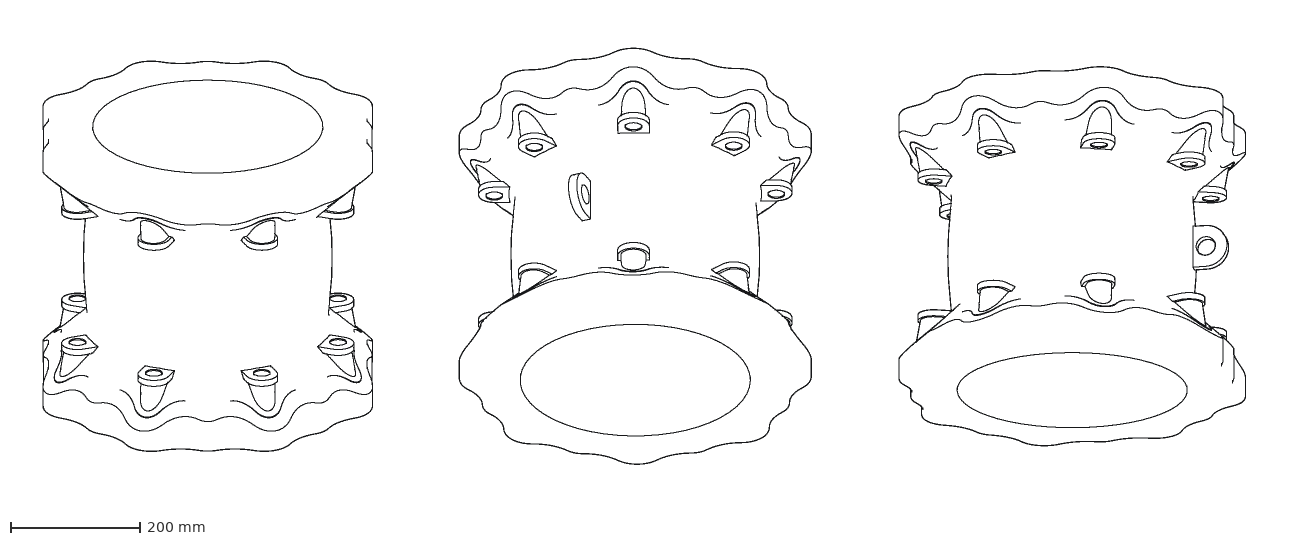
import cadquery as cq
import math

overall_diameter = 544.47
overall_height = 438.0
half_height = overall_height / 2
bore_diameter = 356.0

lobe_count = 8
lobe_pitch = 360.0 / lobe_count
lobe_radius = 44.5
lobe_center_distance = overall_diameter / 2 - lobe_radius
bump_radius = 37.0
bump_center_distance = 217.2
scallop_radius = 74.0
rim_edge_fillet = 5.0

rim_border = 17.5
recess_hollow_radius = 60.0

rim_wall_height = 35.0
border_inner_radius = 229.5
border_inner_height = 75.0
shoulder_radius = 203.0
shoulder_height = 101.0
neck_radius = 186.0
neck_height = 118.6
neck_fillet = 12.0

barrel_mid_radius = 192.5
barrel_band_height = 2.0

pad_center_distance = 218.0
pad_radius = 24.5
pad_bottom_height = 99.0
pad_height = 10.0
pad_top_height = pad_bottom_height + pad_height
boss_root_distance = 190.0
seat_rise = 2.0
bolt_recess_diameter = 26.0
boss_top_center = 219.5
boss_top_radius = 19.5
boss_foot_center = 232.0
boss_foot_radius = 16.0
boss_foot_height = 50.0

lug_angle = 112.5
lug_hole_distance = 212.0
lug_hole_diameter = 30.0
lug_outer_radius = 33.5
lug_thickness = 14.0
lug_bore_clearance = 4.0
lug_root_distance = bore_diameter / 2 + lug_bore_clearance


def polar(distance, angle):
    """Point at a distance from the axis, angle in degrees."""
    turn = math.radians(angle)
    return (distance * math.cos(turn), distance * math.sin(turn))


def toward(start, end, distance):
    """Point reached by moving a distance from start in the direction of end."""
    span = math.dist(start, end)
    step = distance / span
    return (start[0] + (end[0] - start[0]) * step, start[1] + (end[1] - start[1]) * step)


def polar_of(point):
    """Distance from the axis and angle in degrees of a point."""
    return math.hypot(*point), math.degrees(math.atan2(point[1], point[0]))


def hollow_center(lobe, lobe_size, valley, valley_size, hollow_size):
    """Center of the hollow arc that is tangent to a lobe arc and to the valley arc beside it."""
    span = math.dist(lobe, valley)
    from_lobe = lobe_size + hollow_size
    from_valley = valley_size + hollow_size
    along = (from_lobe**2 - from_valley**2 + span**2) / (2 * span)
    across = math.sqrt(from_lobe**2 - along**2)
    base = toward(lobe, valley, along)
    normal = ((valley[1] - lobe[1]) / span, (lobe[0] - valley[0]) / span)
    return (base[0] + normal[0] * across, base[1] + normal[1] * across)


def wavy_outline(lobe_size, valley_distance, valley_size, hollow_size):
    """Closed curve of tangent arcs: outward lobes and valley arcs, joined by hollow arcs."""
    lobe = polar(lobe_center_distance, 0)
    valley = polar(valley_distance, lobe_pitch / 2)
    hollow = hollow_center(lobe, lobe_size, valley, valley_size, hollow_size)
    hollow_distance, hollow_angle = polar_of(hollow)
    lobe_joint, lobe_joint_angle = polar_of(toward(lobe, hollow, lobe_size))
    valley_joint, valley_joint_angle = polar_of(toward(valley, hollow, valley_size))
    middle_angle = (lobe_joint_angle + valley_joint_angle) / 2
    middle_turn = math.radians(hollow_angle - middle_angle)
    middle_reach = math.sqrt(hollow_size**2 - (hollow_distance * math.sin(middle_turn))**2)
    hollow_middle = hollow_distance * math.cos(middle_turn) - middle_reach
    lobe_tip = lobe_center_distance + lobe_size
    valley_tip = valley_distance + valley_size

    outline = cq.Workplane("XY").moveTo(*polar(lobe_joint, -lobe_joint_angle))
    for index in range(lobe_count):
        lobe_angle = index * lobe_pitch
        valley_angle = lobe_angle + lobe_pitch / 2
        next_angle = lobe_angle + lobe_pitch
        outline = (
            outline
            .threePointArc(polar(lobe_tip, lobe_angle), polar(lobe_joint, lobe_angle + lobe_joint_angle))
            .threePointArc(polar(hollow_middle, lobe_angle + middle_angle),
                           polar(valley_joint, lobe_angle + valley_joint_angle))
            .threePointArc(polar(valley_tip, valley_angle),
                           polar(valley_joint, next_angle - valley_joint_angle))
            .threePointArc(polar(hollow_middle, next_angle - middle_angle),
                           polar(lobe_joint, next_angle - lobe_joint_angle))
        )
    return outline.close()


def make_flange():
    """Wavy flange with its face at height 0 and its conical back upward."""
    rim_radius = overall_diameter / 2
    rim = wavy_outline(lobe_radius, bump_center_distance, bump_radius, scallop_radius)
    plate = rim.extrude(neck_height)
    plate = plate.faces("<Z").edges().fillet(rim_edge_fillet)
    back = (
        cq.Workplane("XZ")
        .polyline([
            (0, 0),
            (rim_radius, 0),
            (rim_radius, rim_wall_height),
            (border_inner_radius, border_inner_height),
            (shoulder_radius, shoulder_height),
            (neck_radius, neck_height),
            (0, neck_height),
        ])
        .close()
        .revolve(360, (0, 0, 0), (0, 1, 0))
    )
    cone_slope = (shoulder_height - border_inner_height) / (border_inner_radius - shoulder_radius)
    cone_rim_height = border_inner_height - cone_slope * (rim_radius - border_inner_radius)
    recess_ring = (
        cq.Workplane("XZ")
        .polyline([
            (border_inner_radius, border_inner_height),
            (rim_radius, cone_rim_height),
            (rim_radius, border_inner_height),
        ])
        .close()
        .revolve(360, (0, 0, 0), (0, 1, 0))
    )
    recess_edge = wavy_outline(lobe_radius - rim_border, 0, border_inner_radius, recess_hollow_radius)
    recess = recess_edge.extrude(neck_height).intersect(recess_ring)
    return plate.intersect(back).cut(recess)


def boss_outline(center_distance, radius, height):
    """D-shaped outline: round on the outside, straight sides running in to the cone."""
    return (
        cq.Workplane("XY", origin=(0, 0, height))
        .moveTo(boss_root_distance, -radius)
        .lineTo(center_distance, -radius)
        .threePointArc((center_distance + radius, 0), (center_distance, radius))
        .lineTo(boss_root_distance, radius)
        .close()
    )


def make_boss():
    """Leaning tapered boss at 0 degrees, with a D-shaped pad and a domed seat on top."""
    foot = boss_outline(boss_foot_center, boss_foot_radius, boss_foot_height)
    top = boss_outline(boss_top_center, boss_top_radius, pad_bottom_height)
    post = cq.Workplane(cq.Solid.makeLoft([foot.val(), top.val()], True))
    pad = boss_outline(pad_center_distance, pad_radius, pad_bottom_height).extrude(pad_height)
    return post.union(pad).union(make_seat())


def make_seat():
    """Domed ring on the pad around a shallow round bolt recess."""
    recess_radius = bolt_recess_diameter / 2
    ring_width = pad_radius - recess_radius
    dome_radius = (ring_width**2 + seat_rise**2) / (2 * seat_rise)
    half_width = ring_width / 2
    dome_drop = dome_radius - math.sqrt(dome_radius**2 - half_width**2)
    return (
        cq.Workplane("XZ")
        .moveTo(recess_radius, 0)
        .lineTo(recess_radius, seat_rise)
        .threePointArc((recess_radius + half_width, seat_rise - dome_drop), (pad_radius, 0))
        .close()
        .revolve(360, (0, 0, 0), (0, 1, 0))
        .translate((pad_center_distance, 0, pad_top_height))
    )


def make_lower_end():
    """Lower flange with its ring of bosses, face at the bottom of the part."""
    end = make_flange()
    boss = make_boss()
    for index in range(lobe_count):
        end = end.union(boss.rotate((0, 0, 0), (0, 0, 1), index * lobe_pitch))
    return end.translate((0, 0, -half_height))


def barrel_radius(height):
    """Radius of the bulged side: a circular arc through the neck and the middle band."""
    rise = half_height - neck_height - barrel_band_height / 2
    bulge = barrel_mid_radius - neck_radius
    arc_radius = (rise**2 + bulge**2) / (2 * bulge)
    return barrel_mid_radius - arc_radius + math.sqrt(arc_radius**2 - height**2)


def make_barrel():
    """Bulged barrel with a narrow straight band around its middle."""
    neck_level = half_height - neck_height
    band_level = barrel_band_height / 2
    arc_rise = neck_level - band_level
    arc_middle = (barrel_radius(arc_rise / 2), band_level + arc_rise / 2)
    return (
        cq.Workplane("XZ")
        .moveTo(0, -neck_level)
        .lineTo(neck_radius, -neck_level)
        .threePointArc((arc_middle[0], -arc_middle[1]), (barrel_mid_radius, -band_level))
        .lineTo(barrel_mid_radius, band_level)
        .threePointArc(arc_middle, (neck_radius, neck_level))
        .lineTo(0, neck_level)
        .close()
        .revolve(360, (0, 0, 0), (0, 1, 0))
    )


def make_lug():
    """Radial lifting lug with a round end and a cross hole."""
    lug = (
        cq.Workplane("XZ", origin=(0, lug_thickness / 2, 0))
        .moveTo(lug_root_distance, -lug_outer_radius)
        .lineTo(lug_hole_distance, -lug_outer_radius)
        .threePointArc((lug_hole_distance + lug_outer_radius, 0), (lug_hole_distance, lug_outer_radius))
        .lineTo(lug_root_distance, lug_outer_radius)
        .close()
        .extrude(lug_thickness)
    )
    hole = (
        cq.Workplane("XZ", origin=(lug_hole_distance, lug_thickness / 2, 0))
        .circle(lug_hole_diameter / 2)
        .extrude(lug_thickness)
    )
    return lug.cut(hole).rotate((0, 0, 0), (0, 0, 1), lug_angle)


def neck_edge_box(level):
    """Selector for the round corner at the neck whose height is level."""
    margin = 1.0
    reach = neck_radius + margin
    low_corner = (-reach, -reach, level - margin)
    high_corner = (reach, reach, level + margin)
    return cq.selectors.BoxSelector(low_corner, high_corner, boundingbox=True)


def round_necks(body):
    """Fillet the two corners where the barrel meets the flange cones."""
    neck_level = half_height - neck_height
    corners = neck_edge_box(-neck_level) + neck_edge_box(neck_level)
    return body.edges(corners).fillet(neck_fillet)


lower_end = make_lower_end()
body = make_barrel().union(lower_end).union(lower_end.mirror("XY"))
body = round_necks(body)
body = body.union(make_lug())
bore = cq.Workplane("XY", origin=(0, 0, -half_height)).circle(bore_diameter / 2).extrude(overall_height)
result = body.cut(bore)